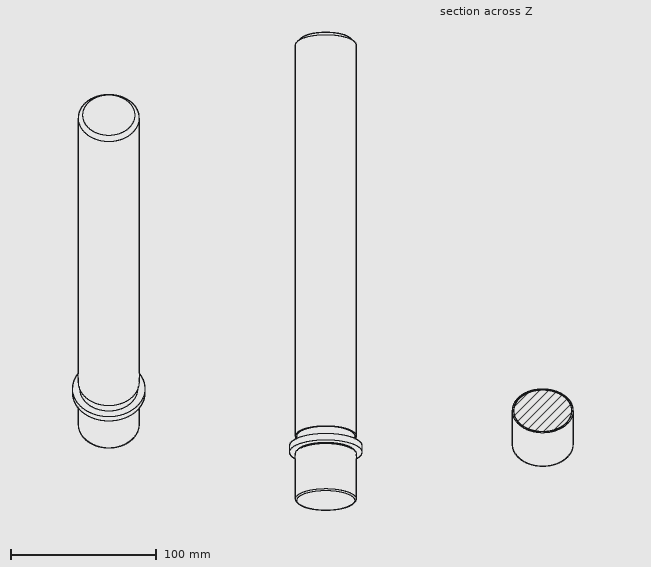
import cadquery as cq

total_height = 335.0
body_diameter = 42.0
neck_diameter = 40.0
collar_diameter = 50.0
base_height = 34.2
relief_height = 1.0
collar_height = 4.7
neck_height = 7.0
top_chamfer = 3.0
bottom_chamfer = 1.0

body_radius = body_diameter / 2
neck_radius = neck_diameter / 2
collar_radius = collar_diameter / 2
collar_bottom = base_height + relief_height
collar_top = collar_bottom + collar_height
neck_top = collar_top + neck_height

profile = (
    cq.Workplane("XZ")
    .moveTo(0, 0)
    .lineTo(body_radius - bottom_chamfer, 0)
    .lineTo(body_radius, bottom_chamfer)
    .lineTo(body_radius, base_height)
    .lineTo(neck_radius, base_height)
    .lineTo(neck_radius, collar_bottom)
    .lineTo(collar_radius, collar_bottom)
    .lineTo(collar_radius, collar_top)
    .lineTo(neck_radius, collar_top)
    .lineTo(neck_radius, neck_top)
    .lineTo(body_radius, neck_top)
    .lineTo(body_radius, total_height - top_chamfer)
    .lineTo(body_radius - top_chamfer, total_height)
    .lineTo(0, total_height)
    .close()
)

result = profile.revolve(360, (0, 0, 0), (0, 1, 0))